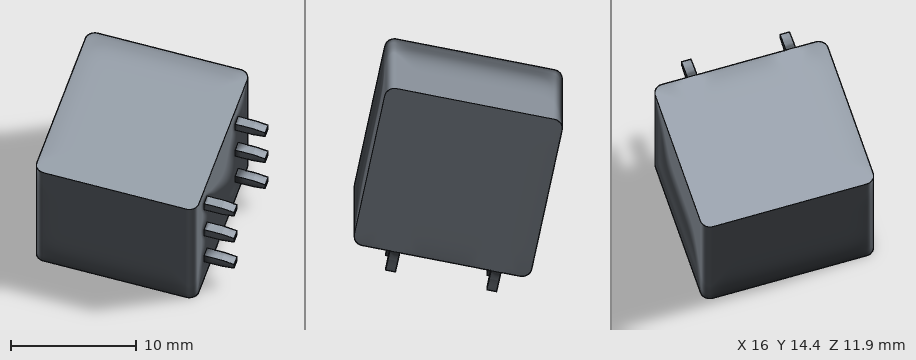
import cadquery as cq

overall_length = 16.0
housing_width = 14.4
housing_height = 11.9
corner_radius = 0.8

pin_length = 2.5
taper_length = 1.0
pin_size = 0.8
tip_height = 0.5

pin_pitch_z = 3.5
middle_level_z = 0.25
front_row_y = -4.62
row_spacing = 8.2

housing_length = overall_length - pin_length
pin_rows_y = [front_row_y, front_row_y + row_spacing]
pin_levels_z = [middle_level_z + step * pin_pitch_z for step in (-1, 0, 1)]


def make_housing():
    block = cq.Workplane("XY").box(housing_length, housing_width, housing_height)
    return block.edges("|Z").fillet(corner_radius)


def make_pin(row_y, level_z):
    """Build one pin, centred on the given Y and Z, reaching out from the +X face."""
    root_x = housing_length / 2
    tip_x = root_x + pin_length
    taper_x = tip_x - taper_length
    half_size = pin_size / 2
    half_tip = tip_height / 2
    profile = [
        (root_x, level_z - half_size),
        (taper_x, level_z - half_size),
        (tip_x, level_z - half_tip),
        (tip_x, level_z + half_tip),
        (taper_x, level_z + half_size),
        (root_x, level_z + half_size),
    ]
    plane = cq.Workplane("XZ", origin=(0, row_y, 0))
    return plane.polyline(profile).close().extrude(half_size, both=True)


result = make_housing()
for row_y in pin_rows_y:
    for level_z in pin_levels_z:
        result = result.union(make_pin(row_y, level_z))